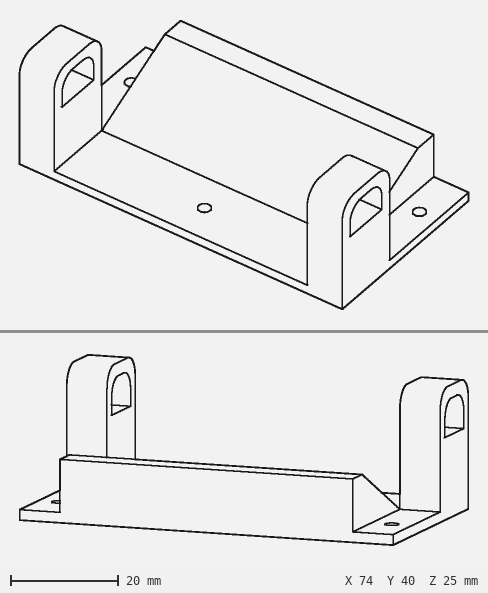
import cadquery as cq

length = 74.0
depth = 40.0
base_thickness = 2.0

post_width = 8.0
post_depth = 15.0
post_height = 25.0
post_radius = 4.0

window_width = 10.0
window_bottom = 15.6
window_top = 22.5
window_radius = 3.5

wedge_length = length - 2 * post_width
wedge_height = 12.0
wedge_flat = 5.0

hole_diameter = 2.6
side_hole_x = (length - post_width) / 2
side_hole_y = 30.0
front_hole_y = post_depth / 2


def make_base():
    plate = cq.Workplane("XY").box(length, depth, base_thickness, centered=(True, False, False))
    hole_centers = [(-side_hole_x, side_hole_y), (side_hole_x, side_hole_y), (0, front_hole_y)]
    holes = (
        cq.Workplane("XY")
        .pushPoints(hole_centers)
        .circle(hole_diameter / 2)
        .extrude(base_thickness)
    )
    return plate.cut(holes)


def make_wedge():
    outline = [
        (post_depth, 0),
        (post_depth, base_thickness),
        (depth - wedge_flat, wedge_height),
        (depth, wedge_height),
        (depth, 0),
    ]
    return cq.Workplane("YZ", origin=(-wedge_length / 2, 0, 0)).polyline(outline).close().extrude(wedge_length)


def rounded_top_block(width, bottom, top, radius):
    """Block as thick as a post along X, centred on the post, with rounded upper corners."""
    return (
        cq.Workplane("XY", origin=(0, post_depth / 2, bottom))
        .box(post_width, width, top - bottom, centered=(True, True, False))
        .edges("|X and >Z")
        .fillet(radius)
    )


def make_post():
    body = rounded_top_block(post_depth, 0, post_height, post_radius)
    window = rounded_top_block(window_width, window_bottom, window_top, window_radius)
    return body.cut(window)


result = make_base().union(make_wedge())
for side in (-1, 1):
    result = result.union(make_post().translate((side * side_hole_x, 0, 0)))